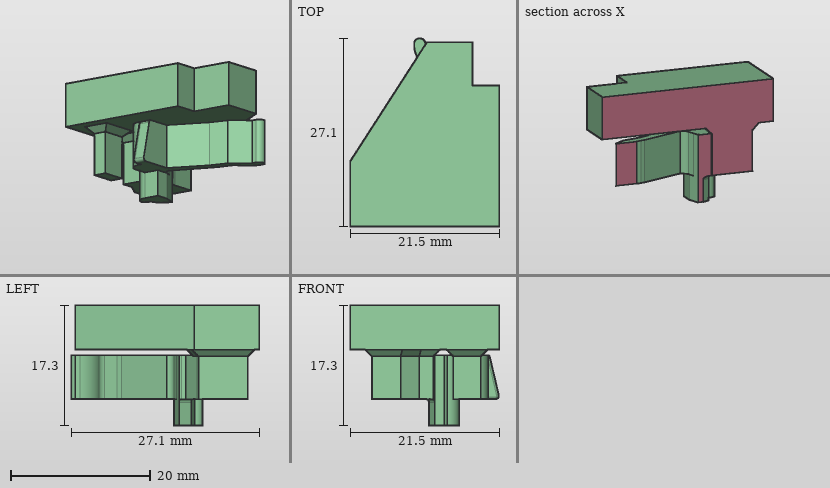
import cadquery as cq
import math

total_height = 17.32
plate_thickness = 6.4
flare = 0.98
lever_gap = 0.79
post_bottom = 3.8
plate_bottom = total_height - plate_thickness
post_top = plate_bottom - flare
lever_top = plate_bottom - lever_gap
lever_height = lever_top - post_bottom

plate_width = 21.5
plate_depth = 26.55
slant_start = 9.38
slant_end = 11.05
notch_x = 17.62
notch_y = 20.33

left_post_left = 3.15
left_post_right = 11.95
left_post_front = 1.65
left_post_side_end = 8.75
left_post_back = 9.5
left_post_bend_radius = 2.17
step_start = 7.27
step_end = 9.95
step_front = 3.2
right_post_left = 14.85
right_post_width = 3.99
right_post_depth = 1.98

lever_right = 19.9
lever_front = 9.95
lever_back = 14.1
lever_corner = 2.17
lever_slope = math.radians(30)
lever_slope_top = (10.74, 10.57)
pin_right = 15.72
pin_back = 12.3
pin_root_fillet = 0.43
pin_left_corner = (11.33, 11.58)
pin_left_front = (12.2, 9.85)
pin_back_left = (13.6, pin_back)
pin_heel_start = (13.55, 9.3)
pin_heel_middle = (13.6, 8.73)
pin_heel_tip = (14.02, 8.15)
pin_round_middle = (15.25, 8.7)

arm_right_root = (16.0, lever_back)
arm_right_bend = (13.55, 19.93)
neck_right = (12.9, 22.77)
tip_right_low = (10.85, 25.62)
tip_right = (10.85, 26.27)
tip_top = (10.05, 27.1)
tip_left = (9.22, 26.51)
bulb_start = (9.22, 25.9)
bulb_middle = (9.68, 24.35)
bulb_end = (10.95, 23.1)
neck_middle = (11.28, 22.8)
neck_end = (11.5, 22.3)
arm_left_bend_start = (11.82, 20.52)
arm_left_bend_end = (11.98, 19.87)
arm_left_root = (14.45, 13.35)
arm_fillet_middle = (14.2, 12.77)
arm_fillet_end = (13.7, 12.35)

shoulder_start = (11.28, 11.52)
shoulder_middle = (11.0, 11.4)
shoulder_end = (10.95, 11.22)
shoulder_fillet_middle = (10.9, 10.87)
web_front_x = 11.45

tooth_tip = 21.55
tooth_top = 20.05
tooth_tip_rounding = 0.5
tooth_top_rounding = 0.4
tooth_front_rounding = 0.35
tooth_embedding = 0.8
tooth_front = lever_front + lever_corner


def make_plate():
    outline = [
        (0, 0),
        (plate_width, 0),
        (plate_width, notch_y),
        (notch_x, notch_y),
        (notch_x, plate_depth),
        (slant_end, plate_depth),
        (0, slant_start),
    ]
    sketch = cq.Workplane("XY", origin=(0, 0, plate_bottom)).polyline(outline).close()
    return sketch.extrude(plate_thickness)


def slope_x(y):
    """X of the sloped line shared by the lever web and the left post."""
    return lever_slope_top[0] - (lever_slope_top[1] - y) / math.tan(lever_slope)


def make_post(outline):
    """Straight post, drawn at post_top, with a 45 degree flare up to the plate."""
    shaft = outline.extrude(post_bottom - post_top)
    narrow = outline.wire().val()
    wide = narrow.offset2D(flare, "intersection")[0].translate(cq.Vector(0, 0, flare))
    return shaft.union(cq.Workplane(cq.Solid.makeLoft([narrow, wide], True)))


def make_left_post():
    bend_x = slope_x(left_post_side_end)
    bend_length = left_post_bend_radius * math.tan(lever_slope / 2)
    bend_end = (
        bend_x + bend_length * math.cos(lever_slope),
        left_post_side_end + bend_length * math.sin(lever_slope),
    )
    return make_post(
        cq.Workplane("XY", origin=(0, 0, post_top))
        .moveTo(left_post_left, left_post_front)
        .lineTo(step_start, left_post_front)
        .lineTo(step_end, step_front)
        .lineTo(left_post_right, step_front)
        .lineTo(left_post_right, left_post_back)
        .lineTo(slope_x(left_post_back), left_post_back)
        .lineTo(*bend_end)
        .radiusArc((bend_x - bend_length, left_post_side_end), left_post_bend_radius)
        .lineTo(left_post_left, left_post_side_end)
        .close()
    )


def make_right_post():
    return make_post(
        cq.Workplane("XY", origin=(0, 0, post_top))
        .moveTo(right_post_left, step_front)
        .rect(right_post_width, right_post_depth, centered=False)
    )


def draw_pin_front(sketch):
    """Front edge shared by pin and lever, from its left corner to its right side."""
    return (
        sketch.lineTo(*pin_heel_start)
        .threePointArc(pin_heel_middle, pin_heel_tip)
        .threePointArc(pin_round_middle, (pin_right, lever_front))
    )


def make_pin():
    sketch = draw_pin_front(cq.Workplane("XY").moveTo(*pin_left_front))
    return (
        sketch.lineTo(pin_right, pin_back)
        .lineTo(*pin_back_left)
        .lineTo(*pin_left_corner)
        .close()
        .extrude(lever_top)
    )


def make_pin_root():
    """Concave fillet where the left face of the pin meets the underside of the lever."""
    run_x = pin_left_front[0] - pin_left_corner[0]
    run_y = pin_left_front[1] - pin_left_corner[1]
    plane = cq.Plane(
        origin=(*pin_left_corner, post_bottom),
        xDir=(run_y, -run_x, 0),
        normal=(run_x, run_y, 0),
    )
    return (
        cq.Workplane(plane)
        .lineTo(pin_root_fillet, 0)
        .radiusArc((0, pin_root_fillet), pin_root_fillet)
        .close()
        .extrude(math.hypot(run_x, run_y))
    )


def make_lever():
    base = cq.Workplane("XY", origin=(0, 0, post_bottom))
    sketch = draw_pin_front(base.moveTo(*pin_left_front))
    corner_x = lever_right - lever_corner
    sketch = (
        sketch.lineTo(corner_x, lever_front)
        .radiusArc((lever_right, tooth_front), -lever_corner)
        .lineTo(lever_right, lever_back)
    )
    sketch = (
        sketch.lineTo(*arm_right_root)
        .lineTo(*arm_right_bend)
        .lineTo(*neck_right)
        .lineTo(*tip_right_low)
        .lineTo(*tip_right)
        .threePointArc(tip_top, tip_left)
        .lineTo(*bulb_start)
        .threePointArc(bulb_middle, bulb_end)
        .threePointArc(neck_middle, neck_end)
        .lineTo(*arm_left_bend_start)
        .lineTo(*arm_left_bend_end)
        .lineTo(*arm_left_root)
        .threePointArc(arm_fillet_middle, arm_fillet_end)
    )
    sketch = (
        sketch.lineTo(*shoulder_start)
        .threePointArc(shoulder_middle, shoulder_end)
        .threePointArc(shoulder_fillet_middle, lever_slope_top)
        .lineTo(slope_x(left_post_back), left_post_back)
        .lineTo(web_front_x, left_post_back)
        .close()
    )
    return sketch.extrude(lever_height)


def make_tooth():
    root = lever_right - tooth_embedding
    profile = [
        (root, post_bottom),
        (tooth_tip, post_bottom),
        (tooth_top, lever_top),
        (root, lever_top),
    ]
    tooth = cq.Workplane("XZ", origin=(0, tooth_front, 0)).polyline(profile).close()
    tooth = tooth.extrude(tooth_front - lever_back)
    tooth = tooth.edges("|Y and >X").fillet(tooth_tip_rounding)
    middle_y = (tooth_front + lever_back) / 2
    top_corner = cq.selectors.NearestToPointSelector((tooth_top, middle_y, lever_top))
    tooth = tooth.edges(top_corner).fillet(tooth_top_rounding)
    return tooth.faces("<Y").edges("not <X").fillet(tooth_front_rounding)


posts = make_left_post().union(make_right_post())
lever = make_lever().union(make_pin()).union(make_pin_root()).union(make_tooth())
result = make_plate().union(posts).union(lever)